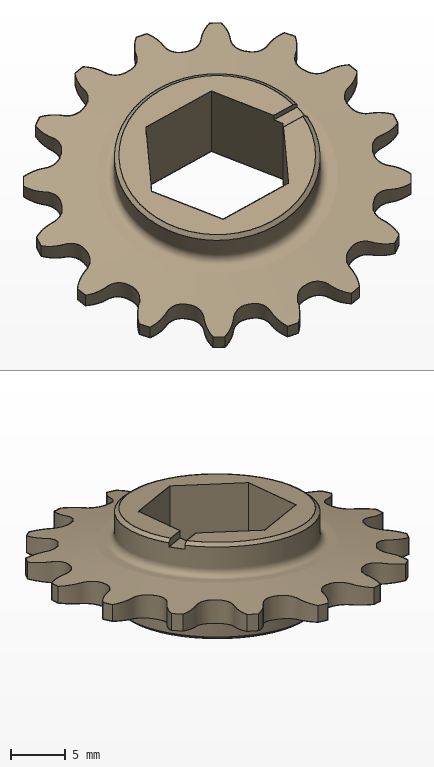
import cadquery as cq
import math

envelope = 35.38
height = 9.5

tooth_count = 16
tip_radius = 17.95
root_radius = 14.72
root_flat = 0.35
seat_radius = 1.65
seat_sweep = math.radians(72)
cutter_overrun = 0.35

plate_thickness = 3.05
tip_thickness = 1.65
flat_band_radius = 11.18

hub_radius = 9.5
hub_fillet = 0.78
chamfer_height = 0.32
chamfer_width = 0.42

hex_across_flats = 12.7
notch_width = 1.6
notch_depth = 0.7


def make_blank():
    """Turned blank: a hub with a plate that tapers towards its rim."""
    half_height = height / 2
    half_plate = plate_thickness / 2
    half_tip = tip_thickness / 2
    plate = (
        cq.Workplane("XZ")
        .moveTo(0, -half_plate)
        .lineTo(flat_band_radius, -half_plate)
        .lineTo(tip_radius, -half_tip)
        .lineTo(tip_radius, half_tip)
        .lineTo(flat_band_radius, half_plate)
        .lineTo(0, half_plate)
        .close()
        .revolve(360, (0, 0, 0), (0, 1, 0))
    )
    fillet_middle = hub_fillet * (1 - math.sqrt(0.5))
    half_hub = (
        cq.Workplane("XZ")
        .lineTo(hub_radius + hub_fillet, 0)
        .lineTo(hub_radius + hub_fillet, half_plate)
        .threePointArc(
            (hub_radius + fillet_middle, half_plate + fillet_middle),
            (hub_radius, half_plate + hub_fillet),
        )
        .lineTo(hub_radius, half_height - chamfer_height)
        .lineTo(hub_radius - chamfer_width, half_height)
        .lineTo(0, half_height)
        .close()
        .revolve(360, (0, 0, 0), (0, 1, 0))
    )
    return plate.union(half_hub).union(half_hub.mirror("XY"))


def make_tooth_gap():
    """Cutter for the tooth gap centred on +Y: root flat, two roller seats and two convex flanks."""
    half_flat = root_flat / 2
    seat_center_y = root_radius + seat_radius

    def seat_point(angle):
        return (
            half_flat + seat_radius * math.sin(angle),
            seat_center_y - seat_radius * math.cos(angle),
        )

    def mirrored(point):
        return (-point[0], point[1])

    seat_middle = seat_point(seat_sweep / 2)
    seat_end = seat_point(seat_sweep)

    corner_y = envelope / 2
    corner = (math.sqrt(tip_radius**2 - corner_y**2), corner_y)

    outward = (math.sin(seat_sweep), -math.cos(seat_sweep))
    chord = (corner[0] - seat_end[0], corner[1] - seat_end[1])
    chord_squared = chord[0] ** 2 + chord[1] ** 2
    flank_radius = chord_squared / (2 * (chord[0] * outward[0] + chord[1] * outward[1]))
    flank_center = (
        seat_end[0] + flank_radius * outward[0],
        seat_end[1] + flank_radius * outward[1],
    )
    half_sweep = math.asin(math.sqrt(chord_squared) / (2 * flank_radius))
    middle_angle = seat_sweep - half_sweep
    flank_middle = (
        flank_center[0] - flank_radius * math.sin(middle_angle),
        flank_center[1] + flank_radius * math.cos(middle_angle),
    )

    clear_y = tip_radius + cutter_overrun
    return (
        cq.Workplane("XY", origin=(0, 0, -height / 2))
        .moveTo(-half_flat, root_radius)
        .lineTo(half_flat, root_radius)
        .threePointArc(seat_middle, seat_end)
        .threePointArc(flank_middle, corner)
        .lineTo(corner[0], clear_y)
        .lineTo(-corner[0], clear_y)
        .lineTo(*mirrored(corner))
        .threePointArc(mirrored(flank_middle), mirrored(seat_end))
        .threePointArc(mirrored(seat_middle), (-half_flat, root_radius))
        .close()
        .extrude(height)
    )


def make_bore():
    """Hexagonal through bore with two corners on the Y axis."""
    across_corners = hex_across_flats / math.cos(math.pi / 6)
    return (
        cq.Workplane("XY", origin=(0, 0, -height / 2))
        .transformed(rotate=(0, 0, 90))
        .polygon(6, across_corners)
        .extrude(height)
    )


def make_notch():
    """Shallow slot in the top face, from the +Y bore corner out through the hub side."""
    return cq.Workplane("XY").box(
        notch_width, hub_radius, notch_depth, centered=(True, False, False)
    ).translate((0, 0, height / 2 - notch_depth))


result = make_blank()
tooth_gap = make_tooth_gap()
for index in range(tooth_count):
    result = result.cut(tooth_gap.rotate((0, 0, 0), (0, 0, 1), index * 360 / tooth_count))
result = result.cut(make_bore()).cut(make_notch())